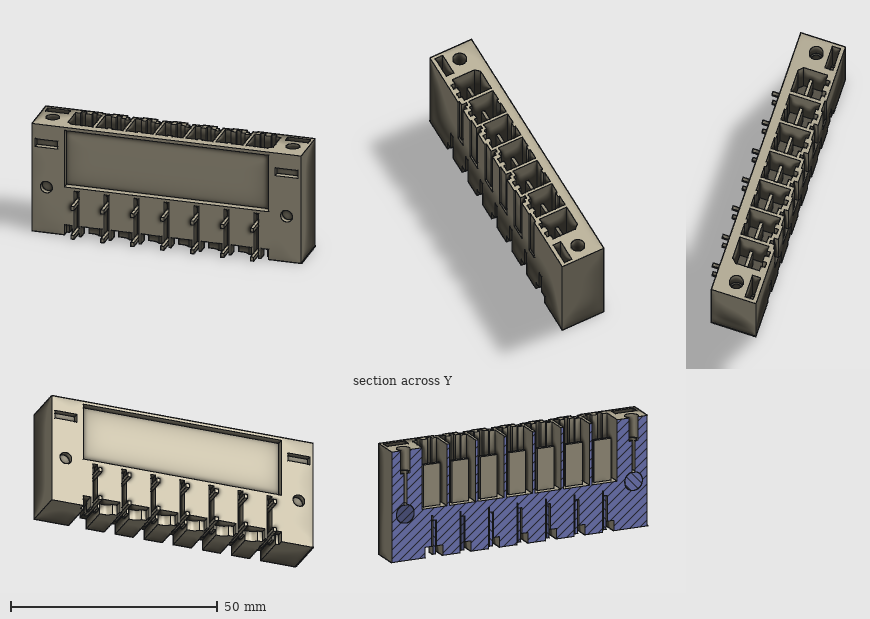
import cadquery as cq


overall_length = 68.6
lip = 0.15
length = overall_length - lip
depth = 11.45
height = 28.3

pin_count = 7
pitch = 7.6
positions = [(i - (pin_count - 1) / 2) * pitch for i in range(pin_count)]

row_half_length = 25.9
panel_bottom = 12.6
panel_top = 27.5
panel_depth = 1.85

cavity_floor = panel_bottom
cavity_front = 2.4
cavity_rear = 9.6
cavity_half_width = 3.4
end_cavity_outer = 3.2
end_cavity_inner = 3.35
end_cavity_corner = 1.1
end_cavity_shoulder = 9.8
key_rear = 10.6
front_rib_half_width = 0.6
front_rib_height = 0.4

groove_shallow = 0.4
groove_middle = 1.0
groove_deep = 1.7

blade_width = 4.45
blade_thickness = 0.8
blade_center_y = 5.75
blade_top = 23.3
stem_thickness = 0.8
stem_front = 2.05
stem_bottom = 0.6
tail_height = 1.0
tail_length = 3.4
upper_tail_bottom = 8.2
stem_top = upper_tail_bottom + tail_height
blade_rear = blade_center_y + blade_thickness / 2
blade_front = blade_center_y - blade_thickness / 2

channel_width = 1.25
channel_top = 11.8
side_groove_top = 10.55
channel_wall_half_width = 1.2

relief_height = 2.7
relief_front = 1.8
relief_step = 2.7
side_block_width = 0.75
foot_left = 2.25
foot_curve_start = 3.35
foot_curve_end = 5.2

flange_inset = 3.7
flange_x = length / 2 - flange_inset
nut_slot_width = 5.75
nut_slot_thickness = 2.05
top_slot_rear = 10.4
front_slot_bottom = 22.35
flange_recess_depth = 1.5
nut_diameter = 4.6
nut_z = 12.0
front_hole_diameter = 3.0
screw_y = 5.2
screw_diameter = 2.5
screw_counterbore = 3.35


def box(x0, x1, y0, y1, z0, z1):
    """A block between two limits on each axis."""
    return cq.Workplane("XY").box(x1 - x0, y1 - y0, z1 - z0, centered=False).translate((x0, y0, z0))


def centered_box(x, width, y0, y1, z0, z1):
    """A block centered on x."""
    return box(x - width / 2, x + width / 2, y0, y1, z0, z1)


def y_cylinder(x, z, diameter, y0, y1):
    """A round bar along Y."""
    return cq.Workplane("XZ").center(x, z).circle(diameter / 2).extrude(y0 - y1).translate((0, y0, 0))


def z_cylinder(x, y, diameter, z0, z1):
    """A round bar along Z."""
    return cq.Workplane("XY", origin=(x, y, z0)).circle(diameter / 2).extrude(z1 - z0)


def cavity_from(outline):
    """The space of a cavity with the given outline, from its floor to the top."""
    base = cq.Workplane("XY", origin=(0, 0, cavity_floor))
    return base.polyline(outline).close().extrude(height - cavity_floor)


def inner_cavity():
    """Cavity with a front rib, a stepped rear wall and one keyway."""
    deep_corner, deep_corner_end = 10.2, -1.8
    key_left, key_right = -0.55, 0.7
    shoulder, shoulder_start = 9.0, 1.9
    outline = [
        (-cavity_half_width, cavity_front),
        (cavity_half_width, cavity_front),
        (cavity_half_width, shoulder),
        (shoulder_start, shoulder),
        (shoulder_start, cavity_rear),
        (key_right, cavity_rear),
        (key_right, key_rear),
        (key_left, key_rear),
        (key_left, cavity_rear),
        (deep_corner_end, cavity_rear),
        (deep_corner_end, deep_corner),
        (-cavity_half_width, deep_corner),
    ]
    rib = box(
        -front_rib_half_width, front_rib_half_width,
        cavity_front, cavity_front + front_rib_height,
        cavity_floor, height,
    )
    return cavity_from(outline).cut(rib)


def left_end_cavity():
    """Cavity with a beveled outer corner and two keyways."""
    outer_key_left, outer_key_right = -2.0, -0.7
    inner_key_left, inner_key_right = 0.9, 2.1
    outline = [
        (-end_cavity_outer + end_cavity_corner, cavity_front),
        (end_cavity_inner, cavity_front),
        (end_cavity_inner, end_cavity_shoulder),
        (inner_key_right, end_cavity_shoulder),
        (inner_key_right, key_rear),
        (inner_key_left, key_rear),
        (inner_key_left, cavity_rear),
        (outer_key_right, cavity_rear),
        (outer_key_right, key_rear),
        (outer_key_left, key_rear),
        (outer_key_left, cavity_rear),
        (-end_cavity_outer, cavity_rear),
        (-end_cavity_outer, cavity_front + end_cavity_corner),
    ]
    return cavity_from(outline)


def shallow_groove(x, right):
    """Shallow coding groove in the rear face, beside the cavity at x."""
    left = -4.45
    return box(x + left, x + right, depth - groove_shallow, depth, cavity_floor, height)


def deep_groove(x):
    """Two-step coding groove in the rear face, behind the wall left of the cavity at x."""
    left, step, right = -5.75, -4.95, -4.25
    outer = box(x + left, x + right, depth - groove_middle, depth, cavity_floor, height)
    inner = box(x + step, x + right, depth - groove_deep, depth, cavity_floor, height)
    return outer.union(inner)


def relief():
    """Space under the row, around the channel walls, the feet and the side blocks."""
    space = box(-row_half_length, row_half_length, 0, depth, 0, relief_height)
    for x in positions:
        space = space.cut(centered_box(x, 2 * channel_wall_half_width, 0, relief_step, 0, relief_height))
    for x in positions[:-1]:
        space = space.cut(foot().translate((x, 0, 0)))
    for side in (-1, 1):
        x = side * (row_half_length - side_block_width / 2)
        space = space.cut(centered_box(x, side_block_width, relief_front, depth, 0, relief_height))
    return space


def foot():
    """Foot between a channel at x = 0 and the next one, with a curved step in its front."""
    right = pitch - channel_width / 2
    return (
        cq.Workplane("XY")
        .moveTo(foot_left, depth)
        .lineTo(foot_left, relief_step)
        .lineTo(foot_curve_start, relief_step)
        .tangentArcPoint((foot_curve_end, relief_front), relative=False)
        .lineTo(right, relief_front)
        .lineTo(right, depth)
        .close()
        .extrude(relief_height)
    )


def channel(x):
    """Channel for a pin: through up to the stem top, blind above, with a narrow groove on the left."""
    through = centered_box(x, channel_width, 0, depth, 0, stem_top)
    blind = centered_box(x, channel_width, 0, stem_front, 0, channel_top)
    side_groove = box(x - channel_width / 2, x - stem_thickness / 2, 0, blade_front, 0, side_groove_top)
    return through.union(blind).union(side_groove)


def flange_openings(x):
    """Slots, screw hole and front hole of one end flange."""
    top_slot = centered_box(x, nut_slot_width, top_slot_rear - nut_slot_thickness, top_slot_rear, nut_z, height)
    front_slot = centered_box(
        x, nut_slot_width, 0, flange_recess_depth,
        front_slot_bottom, front_slot_bottom + nut_slot_thickness,
    )
    screw_hole = z_cylinder(x, screw_y, screw_diameter, nut_z, height)
    counterbore = z_cylinder(x, screw_y, screw_counterbore, front_slot_bottom, height)
    front_hole = y_cylinder(x, nut_z, front_hole_diameter, 0, flange_recess_depth)
    return top_slot.union(front_slot).union(screw_hole).union(counterbore).union(front_hole)


def make_nut(x):
    """Round cross nut lying along Y in an end flange."""
    return y_cylinder(x, nut_z, nut_diameter, flange_recess_depth, top_slot_rear)


def blade(x):
    """Flat contact blade standing in a cavity."""
    return centered_box(
        x, blade_width,
        blade_front, blade_rear,
        stem_top, blade_top,
    )


def make_pin(x):
    """Contact pin: a blade on a stem with two solder tails."""
    pin = blade(x).union(centered_box(x, stem_thickness, stem_front, blade_rear, stem_bottom, stem_top))
    for z in (stem_bottom, upper_tail_bottom):
        pin = pin.union(centered_box(x, stem_thickness, -tail_length, stem_front, z, z + tail_height))
    return pin


def make_housing():
    """Housing with its cavities, grooves, channels and flange openings."""
    body = centered_box(0, length, 0, depth, 0, height)
    body = body.union(box(length / 2, length / 2 + lip, 0, depth, 0, lip))
    body = body.cut(centered_box(0, 2 * row_half_length, 0, panel_depth, panel_bottom, panel_top))

    left_cavity = left_end_cavity()
    body = body.cut(left_cavity.translate((positions[0], 0, 0)))
    body = body.cut(left_cavity.mirror("YZ").translate((positions[-1], 0, 0)))
    for x in positions[1:-1]:
        body = body.cut(inner_cavity().translate((x, 0, 0)))

    groove_right, last_groove_right = -1.8, -3.15
    for x in positions[1:-1]:
        body = body.cut(shallow_groove(x, groove_right))
    body = body.cut(shallow_groove(positions[-1], last_groove_right))
    for x in positions[2:]:
        body = body.cut(deep_groove(x))

    body = body.cut(relief())
    for x in positions:
        body = body.cut(channel(x)).cut(blade(x))
    for x in (-flange_x, flange_x):
        body = body.cut(flange_openings(x)).cut(make_nut(x))
    return body


housing = make_housing()
pins = [make_pin(x) for x in positions]
nuts = [make_nut(x) for x in (-flange_x, flange_x)]

result = cq.Compound.makeCompound(
    [housing.val()] + [pin.val() for pin in pins] + [nut.val() for nut in nuts]
)